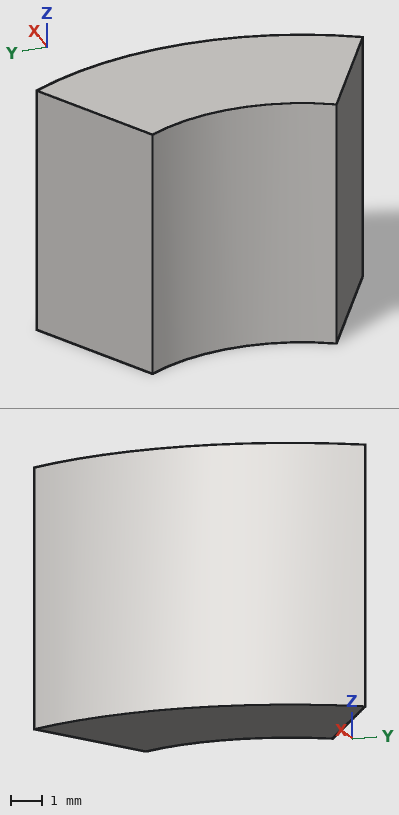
import cadquery as cq
import math

outer_radius = 11.0
inner_radius = 6.2
height = 8.5
half_angle = math.radians(30)


def ring_point(radius, angle):
    """Point in the XY plane at a radius and angle about the ring axis."""
    return (radius * math.cos(angle), radius * math.sin(angle))


result = (
    cq.Workplane("XY")
    .moveTo(*ring_point(inner_radius, -half_angle))
    .lineTo(*ring_point(outer_radius, -half_angle))
    .threePointArc(ring_point(outer_radius, 0), ring_point(outer_radius, half_angle))
    .lineTo(*ring_point(inner_radius, half_angle))
    .threePointArc(ring_point(inner_radius, 0), ring_point(inner_radius, -half_angle))
    .close()
    .extrude(height)
)